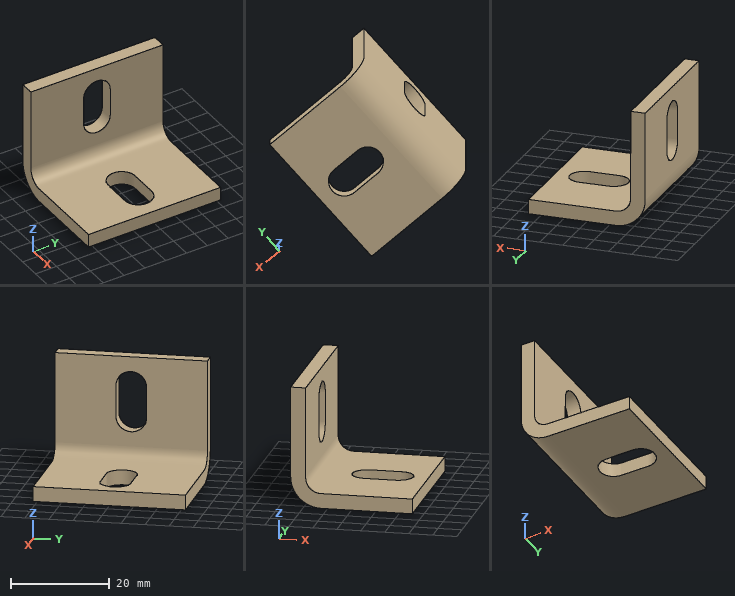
import cadquery as cq

leg_length = 25.4
width = 31.75
thickness = 3.175
inner_bend_radius = 3.175
slot_width = 6.35
slot_length = 12.7
slot_edge_distance = 3.175

outer_bend_radius = inner_bend_radius + thickness
slot_center = leg_length - slot_edge_distance - slot_length / 2


def bent_plate():
    """L-shaped plate of constant thickness, bent along the Y axis and centred on Y = 0."""
    square_angle = (
        cq.Workplane("XZ")
        .polyline([
            (0, 0),
            (leg_length, 0),
            (leg_length, thickness),
            (thickness, thickness),
            (thickness, leg_length),
            (0, leg_length),
        ])
        .close()
        .extrude(width / 2, both=True)
    )
    corner_edges = square_angle.edges("|Y")
    outer_corner = corner_edges.edges(cq.selectors.NearestToPointSelector((0, 0, 0)))
    rounded_outside = outer_corner.fillet(outer_bend_radius)
    inner_corner = rounded_outside.edges("|Y").edges(
        cq.selectors.NearestToPointSelector((thickness, 0, thickness))
    )
    return inner_corner.fillet(inner_bend_radius)


def slot_cutter(plane, center, angle):
    """Obround prism that passes through one leg, starting from the leg's outer face."""
    return (
        cq.Workplane(plane)
        .center(*center)
        .slot2D(slot_length, slot_width, angle)
        .extrude(thickness)
    )


base_slot = slot_cutter("XY", (slot_center, 0), 0)
upright_slot = slot_cutter("YZ", (0, slot_center), 90)

result = bent_plate().cut(base_slot).cut(upright_slot)